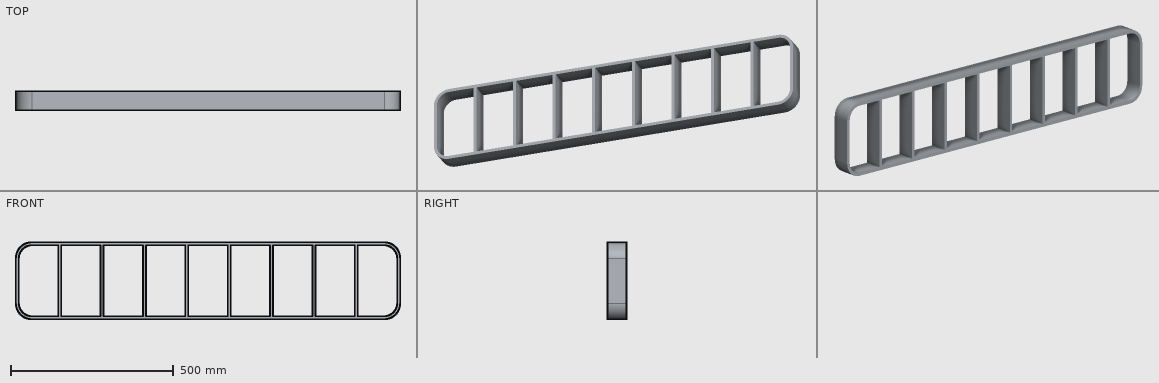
import cadquery as cq

length = 1184.5
depth = 60.0
height = 238.0

wall = 10.0
corner_radius = 50.0

divider_count = 8
divider_thickness = wall
divider_pitch = (length - wall) / (divider_count + 1)


def rounded_block(size_x, size_z, radius):
    """Block centred on the origin, rounded at its four corners seen along Y."""
    return cq.Workplane("XY").box(size_x, depth, size_z).edges("|Y").fillet(radius)


def outer_band():
    inner_length = length - 2 * wall
    inner_height = height - 2 * wall
    outside = rounded_block(length, height, corner_radius)
    inside = rounded_block(inner_length, inner_height, corner_radius - wall)
    return outside.cut(inside)


def divider(x):
    return cq.Workplane("XY").box(divider_thickness, depth, height - wall).translate((x, 0, 0))


result = outer_band()
for index in range(divider_count):
    offset_from_middle = index - (divider_count - 1) / 2
    result = result.union(divider(offset_from_middle * divider_pitch))